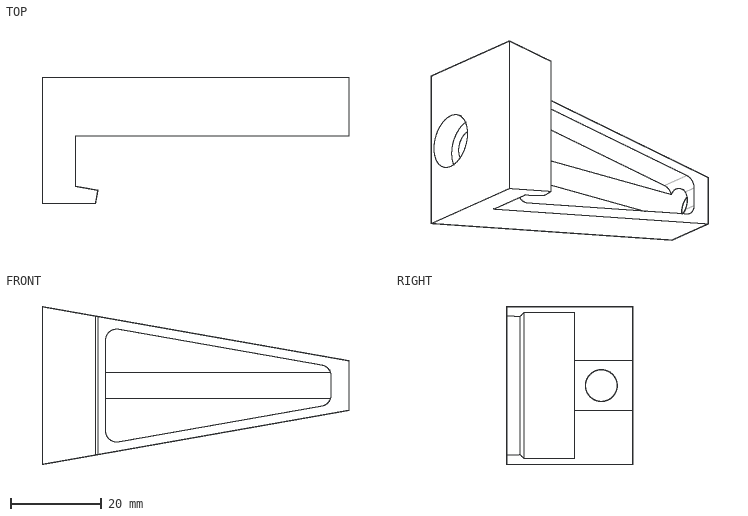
import cadquery as cq
import math

length = 68.0
depth = 28.0
root_width = 35.0
side_taper = math.radians(10)
arm_thickness = 13.0

hook_wall = 7.4
hook_tilt = math.radians(10)
hook_reach = 11.8
hook_tip_thickness = 3.0

pocket_start = 14.0
pocket_end = 64.0
pocket_depth = 8.0
pocket_rim = 2.0
pocket_corner_radius = 2.5

bore_diameter = 7.0
counterbore_diameter = 12.0
counterbore_depth = 5.0
bore_from_back = 7.0

arm_face = depth - arm_thickness
bore_y = depth - bore_from_back


def half_width(x):
    """Half of the part's tapered width at distance x from the root."""
    return root_width / 2 - x * math.tan(side_taper)


def tapered_plan(x_start, x_end, inset=0.0):
    """Symmetric trapezoid in XZ, its sloping sides set in squarely by inset."""
    z_inset = inset / math.cos(side_taper)
    z_start = half_width(x_start) - z_inset
    z_end = half_width(x_end) - z_inset
    corners = [(x_start, -z_start), (x_end, -z_end), (x_end, z_end), (x_start, z_start)]
    return cq.Workplane("XZ").polyline(corners).close()


def hooked_profile():
    """Arm and hook outline in XY, extruded over the root width."""
    tip_x = hook_reach + hook_tip_thickness * math.tan(hook_tilt)
    hook_root_y = hook_tip_thickness + (tip_x - hook_wall) * math.tan(hook_tilt)
    outline = [
        (0, 0),
        (hook_reach, 0),
        (tip_x, hook_tip_thickness),
        (hook_wall, hook_root_y),
        (hook_wall, arm_face),
        (length, arm_face),
        (length, depth),
        (0, depth),
    ]
    return cq.Workplane("XY").polyline(outline).close().extrude(root_width / 2, both=True)


def body():
    """Hooked arm with its width tapering toward the free end."""
    wedge = tapered_plan(0, length).extrude(-depth)
    return hooked_profile().intersect(wedge)


def pocket():
    """Tapered pocket with rounded corners, open at the arm's -Y face."""
    block = tapered_plan(pocket_start, pocket_end, pocket_rim).extrude(-pocket_depth)
    return block.edges("|Y").fillet(pocket_corner_radius).translate((0, arm_face, 0))


def bolt_bore():
    """Through bore along X with a counterbore in the root face."""
    axis = cq.Workplane("YZ").center(bore_y, 0)
    bore = axis.circle(bore_diameter / 2).extrude(length)
    counterbore = axis.circle(counterbore_diameter / 2).extrude(counterbore_depth)
    return bore.union(counterbore)


result = body().cut(pocket()).cut(bolt_bore())